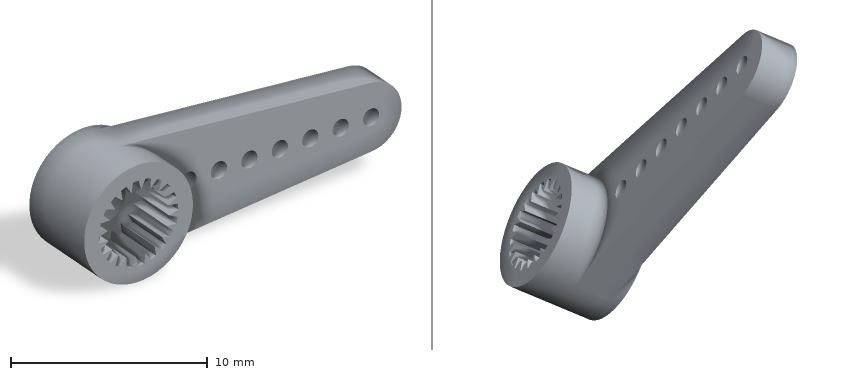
import cadquery as cq
import math

hub_diameter = 6.8
hub_length = 4.8
recess_diameter = 4.8
recess_depth = 0.96
bore_diameter = 2.6
bore_length = 0.85

tooth_count = 20
root_diameter = 4.96
tip_diameter = 3.85
tooth_base_width = 0.43
first_tooth_angle = -4.9
socket_start = recess_depth + bore_length
socket_length = hub_length - socket_start

overall_length = 21.4
arm_start = 0.51
arm_thickness = 2.12
arm_tip_diameter = 4.0
hub_radius = hub_diameter / 2
arm_tip_radius = arm_tip_diameter / 2
arm_reach = overall_length - hub_radius - arm_tip_radius

hole_count = 7
hole_diameter = 1.0
hole_pitch = 1.9
first_hole = 4.66


def cylinder(diameter, start, length):
    """Cylinder on the hub axis, starting at X = start."""
    return cq.Workplane("YZ", origin=(start, 0, 0)).circle(diameter / 2).extrude(length)


def make_arm():
    """Plate bounded by the hub circle, the tip circle and their two common tangents."""
    sine = (hub_radius - arm_tip_radius) / arm_reach
    cosine = math.sqrt(1 - sine**2)
    hub_y, hub_z = hub_radius * sine, hub_radius * cosine
    tip_y, tip_z = arm_reach + arm_tip_radius * sine, arm_tip_radius * cosine
    return (
        cq.Workplane("YZ", origin=(arm_start, 0, 0))
        .moveTo(hub_y, hub_z)
        .lineTo(tip_y, tip_z)
        .threePointArc((arm_reach + arm_tip_radius, 0), (tip_y, -tip_z))
        .lineTo(hub_y, -hub_z)
        .threePointArc((-hub_radius, 0), (hub_y, hub_z))
        .close()
        .extrude(arm_thickness)
    )


def make_link_holes():
    """Cutters for the evenly spaced holes through the arm."""
    centers = [(first_hole + i * hole_pitch, 0) for i in range(hole_count)]
    return (
        cq.Workplane("YZ", origin=(arm_start, 0, 0))
        .pushPoints(centers)
        .circle(hole_diameter / 2)
        .extrude(arm_thickness)
    )


def make_socket():
    """Cutter for the socket: a root cylinder with the triangular teeth left standing."""
    root_radius = root_diameter / 2
    half_base = tooth_base_width / 2
    buried_radius = (root_radius + hub_radius) / 2
    base_radius = math.sqrt(root_radius**2 - half_base**2)
    tooth = (
        cq.Workplane("YZ", origin=(socket_start, 0, 0))
        .polyline(
            [
                (tip_diameter / 2, 0),
                (base_radius, half_base),
                (buried_radius, half_base),
                (buried_radius, -half_base),
                (base_radius, -half_base),
            ]
        )
        .close()
        .extrude(socket_length)
    )
    socket = cylinder(root_diameter, socket_start, socket_length)
    for i in range(tooth_count):
        angle = first_tooth_angle + i * 360 / tooth_count
        socket = socket.cut(tooth.rotate((0, 0, 0), (1, 0, 0), angle))
    return socket


result = (
    cylinder(hub_diameter, 0, hub_length)
    .union(make_arm())
    .cut(make_link_holes())
    .cut(cylinder(recess_diameter, 0, recess_depth))
    .cut(cylinder(bore_diameter, recess_depth, bore_length))
    .cut(make_socket())
)